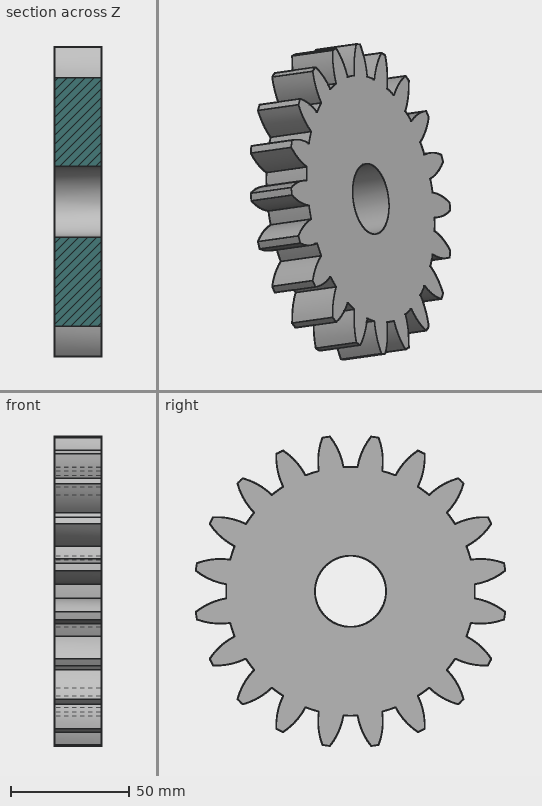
import cadquery as cq
import math

outer_size = 130.8
width = 20.0
bore_diameter = 30.0
root_radius = 52.6
pitch_radius = 60.0
tooth_count = 20

root_half_angle = 5.8
pitch_half_angle = 4.0
tip_half_angle = 1.4

tooth_pitch = 360.0 / tooth_count
tip_corner_angle = tooth_pitch / 2 - tip_half_angle
tip_radius = outer_size / 2 / math.cos(math.radians(tip_corner_angle))


def polar(radius, angle):
    """Point at a radius and an angle in degrees, in the plane of the gear."""
    return (
        radius * math.cos(math.radians(angle)),
        radius * math.sin(math.radians(angle)),
    )


def add_tooth(outline, center):
    """Continue the outline over one tooth and along the root to the next."""
    next_tooth_start = center + tooth_pitch - root_half_angle
    outline = outline.threePointArc(
        polar(pitch_radius, center - pitch_half_angle),
        polar(tip_radius, center - tip_half_angle),
    )
    outline = outline.threePointArc(
        polar(tip_radius, center),
        polar(tip_radius, center + tip_half_angle),
    )
    outline = outline.threePointArc(
        polar(pitch_radius, center + pitch_half_angle),
        polar(root_radius, center + root_half_angle),
    )
    return outline.threePointArc(
        polar(root_radius, center + tooth_pitch / 2),
        polar(root_radius, next_tooth_start),
    )


def make_gear_blank():
    """Toothed disc with its axis along X."""
    first_center = tooth_pitch / 2
    start = polar(root_radius, first_center - root_half_angle)
    outline = cq.Workplane("YZ").moveTo(*start)
    for index in range(tooth_count):
        outline = add_tooth(outline, first_center + index * tooth_pitch)
    return outline.close().extrude(width)


def make_bore():
    """Cylinder that cuts the central through bore."""
    return cq.Workplane("YZ").circle(bore_diameter / 2).extrude(width)


result = make_gear_blank().cut(make_bore())